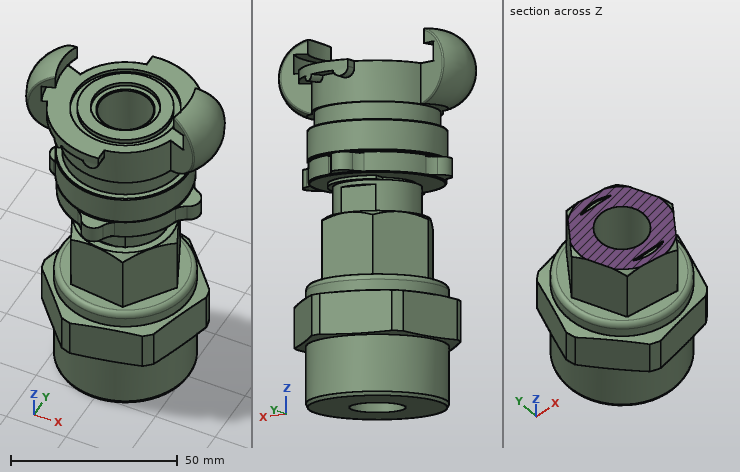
import cadquery as cq
import math

BORE_D = 17.0
THREAD_END_D = 43.0
HEX_AF = 31.9
LARGE_HEX_AF = 46.0
LARGE_HEX_CORNER_D = 51.2
NECK_D = 26.8
NECK_AF = 24.1
GROOVE_D = 23.0
SNAP_RING_D = 30.0
NUT_D = 41.5
SLEEVE_D = 42.2
WAIST_D = 38.0
HEAD_D = 39.5
FLANGE_D = 47.3

LARGE_HEX_Z = 18.5
COLLAR_Z = 31.9
HEX_Z = 37.1
NECK_Z = 57.2
NECK_FLAT_TOP_Z = 65.7
NECK_FLAT_SINK = 1.1
SNAP_RING_Z = 67.0
NUT_Z = 68.1
SLEEVE_Z = 74.6
WAIST_Z = 84.3
HEAD_Z = 89.8
FLANGE_Z = 99.2
HEAD_TOP_Z = 102.3
TOP_Z = 113.2

HEX_TURN = -6.1
LARGE_HEX_TURN = 12.0

END_CHAMFER_H = 1.1
END_CHAMFER_R = 0.6
COLLAR_FILLET = 1.8
HEX_CHAMFER_H = 1.7
HEX_CHAMFER_R = 2.6
LARGE_HEX_CHAMFER_H = 0.6
EDGE_BREAK = 0.3

SNAP_RING_GAP_X = -6.8

LUG_COUNT = 4
LUG_TIP_R = 25.0
LUG_SHOULDER_R = 22.4
LUG_SHOULDER_Y = 3.6
LUG_ROOT_Y = 6.1
LUG_FLANK_X = 20.8
LUG_FLANK_Y = 4.8
LUG_INSET_H = 0.3

BUMP_BOTTOM_Z = 97.4
END_BUMP_R = 2.7
END_BUMP_ANGLE = -90.0
MIDDLE_BUMP_R = 1.98
MIDDLE_BUMP_ANGLE = -123.0

CLAW_HALF_ANGLE = 20.3
CLAW_REACH = 31.42
CLAW_PROFILE_R = 12.06
CLAW_PLAN_R = 16.6
CLAW_TIP_R = SLEEVE_D / 2
CLAW_SLOT_R = 25.4
CLAW_SLOT_TOP_Z = 108.1
CLAW_EDGE_FILLET = 0.5

SEAL_D = 29.0
SEAL_PROUD = 0.3
SEAL_GROOVE_D = 33.3
SEAL_GROOVE_DEPTH = 1.1
MOUTH_D = 20.8
MOUTH_DEPTH = 1.2
BORE_CHAMFER = 0.3


def cylinder(diameter, z_bottom, z_top):
    return cq.Workplane("XY").workplane(offset=z_bottom).circle(diameter / 2).extrude(z_top - z_bottom)


def hexagon(across_flats, z_bottom, z_top, turn):
    across_corners = across_flats / math.cos(math.radians(30))
    prism = cq.Workplane("XY").polygon(6, across_corners).extrude(z_top - z_bottom)
    return prism.rotate((0, 0, 0), (0, 0, 1), turn).translate((0, 0, z_bottom))


def with_opposite(body):
    return body.union(body.rotate((0, 0, 0), (0, 0, 1), 180))


def revolved(points):
    return cq.Workplane("XZ").polyline(points).close().revolve(360, (0, 0, 0), (0, 1, 0))


def lower_fitting():
    end_r = THREAD_END_D / 2
    barrel = revolved([
        (0, 0),
        (end_r - END_CHAMFER_R, 0),
        (end_r, END_CHAMFER_H),
        (end_r, HEX_Z),
        (0, HEX_Z),
    ]).faces(">Z").edges().fillet(COLLAR_FILLET)

    corner_r = LARGE_HEX_CORNER_D / 2
    corner_limit = revolved([
        (0, LARGE_HEX_Z),
        (end_r, LARGE_HEX_Z),
        (corner_r, LARGE_HEX_Z + LARGE_HEX_CHAMFER_H),
        (corner_r, COLLAR_Z - LARGE_HEX_CHAMFER_H),
        (end_r, COLLAR_Z),
        (0, COLLAR_Z),
    ])
    large_hex = hexagon(LARGE_HEX_AF, LARGE_HEX_Z, COLLAR_Z, LARGE_HEX_TURN).intersect(corner_limit)
    return barrel.union(large_hex)


def hex_and_neck():
    corner_r = HEX_AF / 2 / math.cos(math.radians(30))
    corner_limit = revolved([
        (0, HEX_Z),
        (corner_r, HEX_Z),
        (corner_r, NECK_Z - HEX_CHAMFER_H),
        (corner_r - HEX_CHAMFER_R, NECK_Z),
        (0, NECK_Z),
    ])
    hex_body = hexagon(HEX_AF, HEX_Z, NECK_Z, HEX_TURN).intersect(corner_limit)

    flat_bottom_z = NECK_Z - NECK_FLAT_SINK
    flats = cq.Workplane("XY").box(NECK_D, NECK_AF, NECK_FLAT_TOP_Z - flat_bottom_z, centered=(True, True, False))
    neck = cylinder(NECK_D, flat_bottom_z, NECK_FLAT_TOP_Z).intersect(flats.translate((0, 0, flat_bottom_z)))
    hex_body = hex_body.cut(cylinder(NECK_D, flat_bottom_z, NECK_Z))
    shoulder = cylinder(NECK_D, NECK_FLAT_TOP_Z, SNAP_RING_Z)
    groove = cylinder(GROOVE_D, SNAP_RING_Z, NUT_Z)
    return hex_body.union(neck).union(shoulder).union(groove)


def snap_ring():
    ring_r = SNAP_RING_D / 2
    height = NUT_Z - SNAP_RING_Z
    closed_side = cq.Workplane("XY").box(
        ring_r - SNAP_RING_GAP_X, SNAP_RING_D, height, centered=(False, True, False)
    )
    closed_side = closed_side.translate((SNAP_RING_GAP_X, 0, SNAP_RING_Z))
    return cylinder(SNAP_RING_D, SNAP_RING_Z, NUT_Z).intersect(closed_side)


def locking_nut():
    nut = cylinder(NUT_D, NUT_Z, SLEEVE_Z).faces("<Z or >Z").edges().chamfer(EDGE_BREAK)
    root_x = math.sqrt((NUT_D / 2) ** 2 - LUG_ROOT_Y ** 2)
    lug_bottom = NUT_Z + LUG_INSET_H
    lug_height = SLEEVE_Z - LUG_INSET_H * 2 - lug_bottom
    lug = (
        cq.Workplane("XY")
        .moveTo(0, -LUG_ROOT_Y)
        .lineTo(root_x, -LUG_ROOT_Y)
        .threePointArc((LUG_FLANK_X, -LUG_FLANK_Y), (LUG_SHOULDER_R, -LUG_SHOULDER_Y))
        .threePointArc((LUG_TIP_R, 0), (LUG_SHOULDER_R, LUG_SHOULDER_Y))
        .threePointArc((LUG_FLANK_X, LUG_FLANK_Y), (root_x, LUG_ROOT_Y))
        .lineTo(0, LUG_ROOT_Y)
        .close()
        .extrude(lug_height)
        .translate((0, 0, lug_bottom))
    )
    for i in range(LUG_COUNT):
        nut = nut.union(lug.rotate((0, 0, 0), (0, 0, 1), i * 360 / LUG_COUNT))
    return nut


def head_body():
    sleeve = cylinder(SLEEVE_D, SLEEVE_Z, WAIST_Z).faces("<Z or >Z").edges().chamfer(EDGE_BREAK)
    waist = cylinder(WAIST_D, WAIST_Z, HEAD_Z)
    head = cylinder(HEAD_D, HEAD_Z, HEAD_TOP_Z)
    return sleeve.union(waist).union(head)


def radial_bump(radius, angle):
    bump = cq.Workplane("YZ").center(0, BUMP_BOTTOM_Z + radius).circle(radius).extrude(FLANGE_D)
    return bump.rotate((0, 0, 0), (0, 0, 1), angle)


def bayonet_flange():
    """Rim on the -Y side, from the claw at -X round to a rounded end on the Y axis."""
    flange_r = FLANGE_D / 2
    claw_side = math.radians(180 + CLAW_HALF_ANGLE)
    far_x = 2 * flange_r * math.cos(claw_side)
    far_y = 2 * flange_r * math.sin(claw_side)
    rim = (
        cq.Workplane("XY")
        .polyline([(0, 0), (far_x, far_y), (far_x, -FLANGE_D), (0, -FLANGE_D)])
        .close()
        .extrude(HEAD_TOP_Z - FLANGE_Z)
        .translate((0, 0, FLANGE_Z))
    )
    end_bump_z = BUMP_BOTTOM_Z + END_BUMP_R
    end_block = (
        cq.Workplane("XY")
        .rect(2 * END_BUMP_R, 2 * FLANGE_D)
        .extrude(HEAD_TOP_Z - end_bump_z)
        .translate((0, -FLANGE_D, end_bump_z))
    )
    rim = rim.union(end_block)
    rim = rim.union(radial_bump(END_BUMP_R, END_BUMP_ANGLE))
    rim = rim.union(radial_bump(MIDDLE_BUMP_R, MIDDLE_BUMP_ANGLE))
    band = cylinder(FLANGE_D, BUMP_BOTTOM_Z, HEAD_TOP_Z).cut(cylinder(WAIST_D, BUMP_BOTTOM_Z, HEAD_TOP_Z))
    return rim.intersect(band)


def claw():
    """Rounded hook on the +X side, bounded by two upright planes through the main axis."""
    plan_x = CLAW_REACH - CLAW_PLAN_R
    profile_x = CLAW_PLAN_R - CLAW_PROFILE_R
    tip_run = CLAW_TIP_R - plan_x - profile_x
    profile_z = TOP_Z - math.sqrt(CLAW_PROFILE_R ** 2 - tip_run ** 2)
    dome = (
        cq.Workplane("XZ")
        .moveTo(0, profile_z - CLAW_PROFILE_R)
        .lineTo(profile_x, profile_z - CLAW_PROFILE_R)
        .threePointArc((CLAW_PLAN_R, profile_z), (profile_x, profile_z + CLAW_PROFILE_R))
        .lineTo(0, profile_z + CLAW_PROFILE_R)
        .close()
        .revolve(360, (0, 0, 0), (0, 1, 0))
        .translate((plan_x, 0, 0))
    )
    side_y = CLAW_REACH * math.tan(math.radians(CLAW_HALF_ANGLE))
    wedge = (
        cq.Workplane("XY")
        .polyline([(0, 0), (CLAW_REACH, -side_y), (CLAW_REACH, side_y)])
        .close()
        .extrude(profile_z + CLAW_PROFILE_R - HEAD_Z)
        .translate((0, 0, HEAD_Z))
    )
    hook = dome.intersect(wedge).cut(cylinder(2 * CLAW_TIP_R, HEAD_TOP_Z, profile_z + CLAW_PROFILE_R))
    for side in (1, -1):
        rim_edge = cq.selectors.NearestToPointSelector((CLAW_REACH, side * side_y, profile_z))
        hook = hook.edges(rim_edge).fillet(CLAW_EDGE_FILLET)
    return hook.cut(cylinder(2 * CLAW_SLOT_R, HEAD_TOP_Z, CLAW_SLOT_TOP_Z))


def mouth_details(body):
    groove = cylinder(SEAL_GROOVE_D, HEAD_TOP_Z - SEAL_GROOVE_DEPTH, HEAD_TOP_Z)
    seal_top = HEAD_TOP_Z + SEAL_PROUD
    seal = cylinder(SEAL_D, HEAD_TOP_Z - SEAL_GROOVE_DEPTH, seal_top)
    mouth = cylinder(MOUTH_D, seal_top - MOUTH_DEPTH, seal_top)
    body = body.cut(groove).union(seal).cut(mouth).cut(cylinder(BORE_D, 0, TOP_Z))
    ledge_z = seal_top - MOUTH_DEPTH
    bore_edge = cq.Solid.makeCone(
        BORE_D / 2, BORE_D / 2 + BORE_CHAMFER, BORE_CHAMFER, cq.Vector(0, 0, ledge_z - BORE_CHAMFER)
    )
    return body.cut(cq.Workplane(bore_edge))


result = lower_fitting().union(hex_and_neck()).union(snap_ring()).union(locking_nut()).union(head_body())
result = result.union(with_opposite(claw())).union(with_opposite(bayonet_flange()))
result = mouth_details(result)